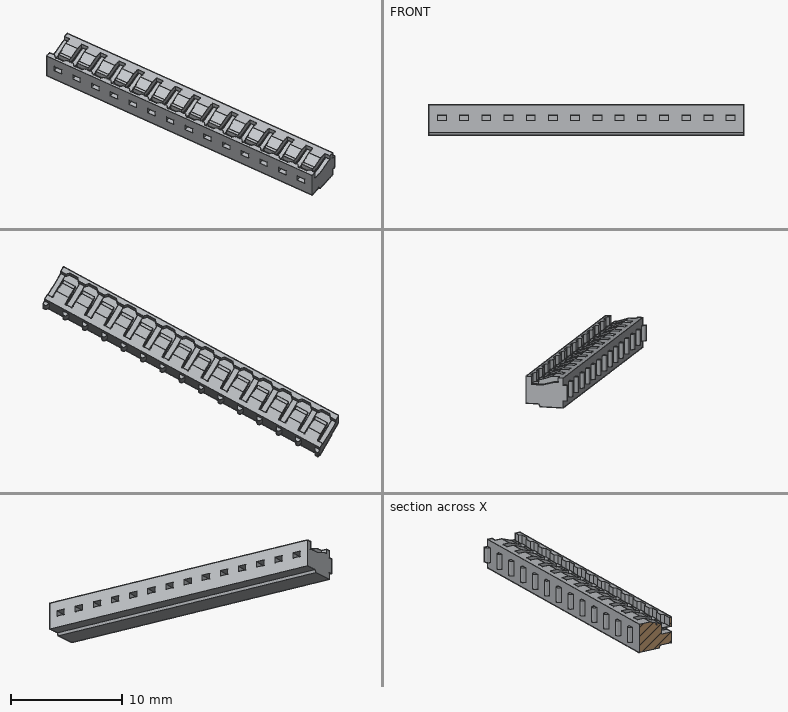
import cadquery as cq

length = 28.4
height = 2.75
body_depth = 3.46
rear_rib_depth = 0.35

cell_count = 14
end_divider_x = 0.2
pitch = (length - 2 * end_divider_x) / cell_count
divider_centers = [end_divider_x + i * pitch for i in range(cell_count + 1)]
cell_centers = [x + pitch / 2 for x in divider_centers[:-1]]

step_height = 0.25
step_top_y = 1.2
step_bottom_y = 1.3

front_wall = 0.5
channel_back_y = 2.98
divider_floor_z = 2.02
divider_rear_z = 2.33
divider_slope_start_y = 1.53
divider_slope_end_y = 2.65

divider_width = 0.5
pocket_width = pitch - divider_width
pocket_floor_z = 1.93
pocket_rear_z = 2.3
pocket_slope_start_y = 1.75

notch_mouth_width = 1.3
notch_end_width = 0.82
notch_end_y = 0.25

tongue_front_y = 1.02
lip_end_y = 1.3
slope_top_y = 2.3
lip_z = 2.4
tongue_front_width = 1.2
tongue_rear_width = 1.3

window_width = 0.8
window_bottom_z = 1.33
window_top_z = 1.85
window_inner_top_z = 1.8
window_depth = tongue_front_y

rear_rib_base_width = 0.6
rear_rib_crest_width = 0.43
rear_rib_flank_depth = 0.17
rear_rib_bottom_z = 0.65
rear_rib_height = 1.42
end_fill_width = end_divider_x


def extrude_along_x(points_yz, center_x, width):
    """Extrude a side profile along X, centered on center_x."""
    plane = cq.Workplane("YZ", origin=(center_x - width / 2, 0, 0))
    return plane.polyline(points_yz).close().extrude(width)


def tapered_prism(center_x, y_start, width_start, y_end, width_end, z_bottom, z_top):
    """Vertical prism with a symmetric trapezoid as its plan."""
    plan = [
        (center_x - width_start / 2, y_start),
        (center_x + width_start / 2, y_start),
        (center_x + width_end / 2, y_end),
        (center_x - width_end / 2, y_end),
    ]
    return cq.Workplane("XY", origin=(0, 0, z_bottom)).polyline(plan).close().extrude(z_top - z_bottom)


def make_body():
    outline = [
        (0, step_height),
        (step_top_y, step_height),
        (step_bottom_y, 0),
        (body_depth, 0),
        (body_depth, height),
        (channel_back_y, height),
        (channel_back_y, divider_rear_z),
        (divider_slope_end_y, divider_rear_z),
        (divider_slope_start_y, divider_floor_z),
        (front_wall, divider_floor_z),
        (front_wall, height),
        (0, height),
    ]
    return extrude_along_x(outline, length / 2, length)


def make_pocket(center_x):
    profile = [
        (front_wall, height),
        (front_wall, pocket_floor_z),
        (pocket_slope_start_y, pocket_floor_z),
        (channel_back_y, pocket_rear_z),
        (channel_back_y, height),
    ]
    pocket = extrude_along_x(profile, center_x, pocket_width)
    notch = tapered_prism(
        center_x, notch_end_y, notch_end_width, front_wall, notch_mouth_width, pocket_floor_z, height
    )
    return pocket.union(notch)


def make_tongue(center_x):
    profile = [
        (tongue_front_y, step_height),
        (channel_back_y, step_height),
        (channel_back_y, height),
        (slope_top_y, height),
        (lip_end_y, lip_z),
        (tongue_front_y, lip_z),
    ]
    plan_limit = tapered_prism(
        center_x, tongue_front_y, tongue_front_width, channel_back_y, tongue_rear_width, step_height, height
    )
    return extrude_along_x(profile, center_x, pocket_width).intersect(plan_limit)


def make_window(center_x):
    profile = [
        (0, window_bottom_z),
        (window_depth, window_bottom_z),
        (window_depth, window_inner_top_z),
        (0, window_top_z),
    ]
    return extrude_along_x(profile, center_x, window_width)


def make_rear_rib(center_x):
    return (
        cq.Workplane("XY", origin=(center_x, body_depth, rear_rib_bottom_z))
        .moveTo(-rear_rib_base_width / 2, 0)
        .lineTo(-rear_rib_crest_width / 2, rear_rib_flank_depth)
        .threePointArc((0, rear_rib_depth), (rear_rib_crest_width / 2, rear_rib_flank_depth))
        .lineTo(rear_rib_base_width / 2, 0)
        .close()
        .extrude(rear_rib_height)
    )


def make_end_fill(start_x):
    """Block that squares off the outer half of an end rib."""
    plane = cq.Workplane("XY", origin=(start_x, body_depth, rear_rib_bottom_z))
    return plane.box(end_fill_width, rear_rib_depth, rear_rib_height, centered=False)


body = make_body()
for x in cell_centers:
    body = body.cut(make_pocket(x)).union(make_tongue(x)).cut(make_window(x))
for x in divider_centers:
    body = body.union(make_rear_rib(x))
for x in (0, length - end_fill_width):
    body = body.union(make_end_fill(x))

envelope = cq.Workplane("XY").box(length, body_depth + rear_rib_depth, height, centered=False)
result = body.intersect(envelope)